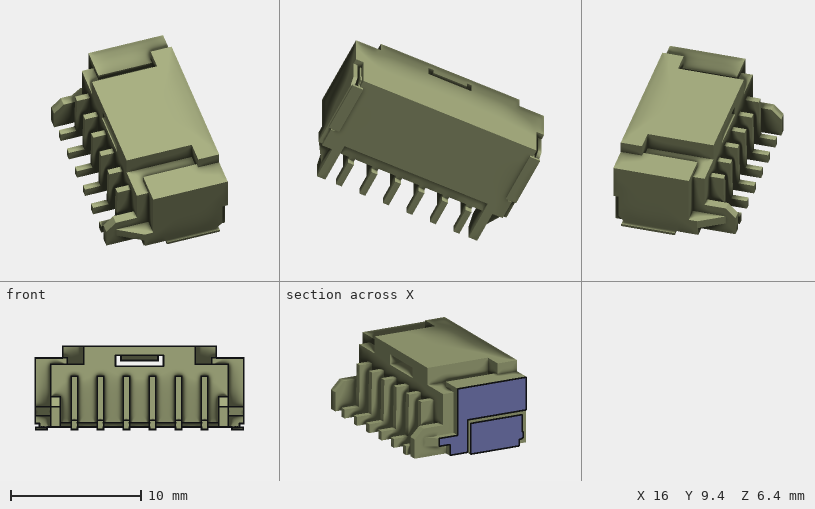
import cadquery as cq
import math


HALF_LENGTH = 8.0
HEIGHT = 6.2
HOUSING_DEPTH = 6.95
HOUSING_HALF_LENGTH = 6.82
SHOULDER_HEIGHT = 4.83
ROOF_HALF_LENGTH = 4.29
REAR_ROOF_HALF_LENGTH = 5.89
REAR_ROOF_DEPTH = 1.7

SIDE_BLOCK_INNER_X = 5.54
SIDE_BLOCK_DEPTH = 6.02
SIDE_BLOCK_HEIGHT = 5.31
SKIRT_DEPTH = 6.69
SKIRT_HEIGHT = 1.55

RELIEF = 0.32
RELIEF_HEIGHT = 0.27
RELIEF_REAR_DEPTH = 0.43
RELIEF_REAR_HEIGHT = 2.62
RELIEF_CORNER = 0.51

TAIL_THICKNESS = 0.72
TAIL_DEPTH = 9.4
TAIL_HEIGHT = 2.32
TAIL_CHAMFER = 0.77
GUSSET_BOTTOM = 0.88
GUSSET_DEPTH = TAIL_DEPTH - TAIL_CHAMFER

WINDOW_LENGTH = 3.68
WINDOW_BOTTOM = 4.67
WINDOW_TOP = 5.5
LATCH_LENGTH = 2.85
LATCH_DROP = 0.4
LATCH_DEPTH = 0.64
LATCH_LEAN_ANGLE = 5.0

CLEARANCE_HEIGHT = 0.32

PIN_COUNT = 6
PIN_PITCH = 2.0
PIN_WIDTH = 0.5
PIN_TOP = 3.9
PIN_LEG_DEPTH = 8.06
PIN_LEG_LEAN = 0.06
PIN_FOOT_DEPTH = 9.31
PIN_FOOT_TOP = 0.53
PIN_HEEL_GAP = 0.2

STANDOFF = 0.2
PLATE_FRONT = 4.9
PLATE_HEEL = 0.62
PLATE_HOOK = 0.25
PLATE_REAR = 0.37
PLATE_HOOK_BOTTOM = 0.4
PLATE_HOOK_TOP = 0.93
PLATE_TOP = 2.34
PLATE_BEVEL_REAR = 0.42
PLATE_BEVEL_BOTTOM = 0.27
PLATE_THICKNESS = 0.13
SLOT_FRONT = 5.1
SLOT_INNER_X = 7.36
FOOT_INNER_X = 7.09
FOOT_OUTER_X = 7.97


def block(x_range, depth_range, z_range):
    """Box between two X values, two depths and two heights."""
    x_min, x_max = x_range
    rear, front = depth_range
    bottom, top = z_range
    size = (x_max - x_min, front - rear, top - bottom)
    return cq.Workplane("XY").box(*size, centered=False).translate((x_min, -front, bottom))


def centered_block(half_length, depth_range, z_range):
    """Box that is symmetric about the middle of the row."""
    return block((-half_length, half_length), depth_range, z_range)


def side_profile(points, x_min, x_max):
    """Extrude an outline of (depth, height) points between two X values."""
    outline = [(-depth, height) for depth, height in points]
    profile = cq.Workplane("YZ").polyline(outline).close()
    return profile.extrude(x_max - x_min).translate((x_min, 0, 0))


def both_ends(shape):
    """Join an end feature with its mirror image at the other end."""
    return shape.union(shape.mirror("YZ"))


def make_housing():
    core = centered_block(HOUSING_HALF_LENGTH, (0, HOUSING_DEPTH), (0, SHOULDER_HEIGHT))
    roof = centered_block(ROOF_HALF_LENGTH, (0, HOUSING_DEPTH), (0, HEIGHT))
    rear_roof = centered_block(REAR_ROOF_HALF_LENGTH, (0, REAR_ROOF_DEPTH), (0, HEIGHT))
    return core.union(roof).union(rear_roof)


def make_side_block():
    x_range = (SIDE_BLOCK_INNER_X, HALF_LENGTH)
    side = block(x_range, (0, SIDE_BLOCK_DEPTH), (0, SIDE_BLOCK_HEIGHT))
    skirt = block((HOUSING_HALF_LENGTH, HALF_LENGTH), (0, SKIRT_DEPTH), (0, SKIRT_HEIGHT))
    return side.union(skirt)


def make_end_relief():
    inner_depth = RELIEF_REAR_DEPTH + RELIEF_CORNER
    outline = [
        (0, 0),
        (SKIRT_DEPTH, 0),
        (SKIRT_DEPTH, RELIEF_HEIGHT),
        (inner_depth, RELIEF_HEIGHT),
        (RELIEF_REAR_DEPTH, RELIEF_HEIGHT + RELIEF_CORNER),
        (RELIEF_REAR_DEPTH, RELIEF_REAR_HEIGHT),
        (0, RELIEF_REAR_HEIGHT),
    ]
    return side_profile(outline, HALF_LENGTH - RELIEF, HALF_LENGTH)


def make_tail():
    outline = [
        (SIDE_BLOCK_DEPTH, 0),
        (TAIL_DEPTH, 0),
        (TAIL_DEPTH, TAIL_HEIGHT - TAIL_CHAMFER),
        (TAIL_DEPTH - TAIL_CHAMFER, TAIL_HEIGHT),
        (SIDE_BLOCK_DEPTH, TAIL_HEIGHT),
    ]
    tail = side_profile(outline, HOUSING_HALF_LENGTH - TAIL_THICKNESS, HOUSING_HALF_LENGTH)
    gusset_corners = [
        (HOUSING_HALF_LENGTH, -SKIRT_DEPTH),
        (HALF_LENGTH, -SKIRT_DEPTH),
        (HOUSING_HALF_LENGTH, -GUSSET_DEPTH),
    ]
    gusset = (
        cq.Workplane("XY")
        .workplane(offset=GUSSET_BOTTOM)
        .polyline(gusset_corners)
        .close()
        .extrude(SKIRT_HEIGHT - GUSSET_BOTTOM)
    )
    return tail.union(gusset)


def make_window():
    return centered_block(WINDOW_LENGTH / 2, (0, HOUSING_DEPTH), (WINDOW_BOTTOM, WINDOW_TOP))


def make_latch_tab():
    lean = LATCH_DROP * math.tan(math.radians(LATCH_LEAN_ANGLE))
    bottom = WINDOW_TOP - LATCH_DROP
    outline = [
        (0, bottom),
        (LATCH_DEPTH, bottom),
        (LATCH_DEPTH - lean, WINDOW_TOP),
        (0, WINDOW_TOP),
    ]
    return side_profile(outline, -LATCH_LENGTH / 2, LATCH_LENGTH / 2)


def make_front_clearance():
    half_length = HOUSING_HALF_LENGTH - TAIL_THICKNESS
    return centered_block(half_length, (SIDE_BLOCK_DEPTH, HOUSING_DEPTH), (0, CLEARANCE_HEIGHT))


def make_pin(x):
    heel_depth = HOUSING_DEPTH + PIN_HEEL_GAP
    outline = [
        (HOUSING_DEPTH, PIN_TOP),
        (PIN_LEG_DEPTH - PIN_LEG_LEAN, PIN_TOP),
        (PIN_LEG_DEPTH, PIN_FOOT_TOP),
        (PIN_FOOT_DEPTH, PIN_FOOT_TOP),
        (PIN_FOOT_DEPTH, -STANDOFF),
        (heel_depth, -STANDOFF),
        (heel_depth, CLEARANCE_HEIGHT),
        (HOUSING_DEPTH, CLEARANCE_HEIGHT),
    ]
    return side_profile(outline, x - PIN_WIDTH / 2, x + PIN_WIDTH / 2)


def make_plate_slot():
    x_range = (SLOT_INNER_X, HALF_LENGTH - RELIEF)
    return block(x_range, (0, SLOT_FRONT), (0, RELIEF_REAR_HEIGHT))


def make_plate_bevel():
    """Sloped web under the hook, falling back to the slot wall."""
    corners = [
        (SLOT_INNER_X, PLATE_HOOK_BOTTOM),
        (SLOT_INNER_X + PLATE_THICKNESS, PLATE_HOOK_BOTTOM),
        (SLOT_INNER_X, PLATE_BEVEL_BOTTOM),
    ]
    web = cq.Workplane("XZ").polyline(corners).close()
    return web.extrude(PLATE_HEEL - PLATE_BEVEL_REAR).translate((0, -PLATE_BEVEL_REAR, 0))


def make_solder_plate():
    outline = [
        (PLATE_REAR, PLATE_TOP),
        (PLATE_REAR, PLATE_HOOK_TOP),
        (PLATE_HOOK, PLATE_HOOK_TOP),
        (PLATE_HOOK, PLATE_HOOK_BOTTOM),
        (PLATE_HEEL, PLATE_HOOK_BOTTOM),
        (PLATE_HEEL, -STANDOFF),
        (PLATE_FRONT, -STANDOFF),
        (PLATE_FRONT, PLATE_TOP),
    ]
    plate = side_profile(outline, SLOT_INNER_X, SLOT_INNER_X + PLATE_THICKNESS)
    foot = block((FOOT_INNER_X, FOOT_OUTER_X), (PLATE_HEEL, PLATE_FRONT), (-STANDOFF, 0))
    return plate.union(foot).union(make_plate_bevel())


result = make_housing().union(both_ends(make_side_block()))
result = result.cut(both_ends(make_end_relief())).union(both_ends(make_tail()))
result = result.cut(make_window()).union(make_latch_tab())
result = result.cut(make_front_clearance())
result = result.cut(both_ends(make_plate_slot())).union(both_ends(make_solder_plate()))

for index in range(PIN_COUNT):
    pin_x = (index - (PIN_COUNT - 1) / 2) * PIN_PITCH
    result = result.union(make_pin(pin_x))